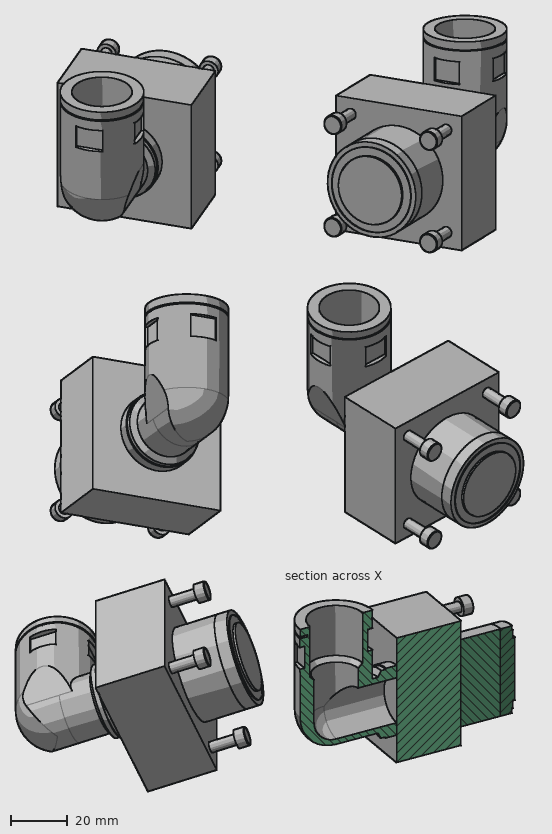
import cadquery as cq
import math


block_side = 50.0
block_depth = 26.2

barrel_radius = 17.6
barrel_end = 42.2
cap_rim_end = 46.9
cap_step_radius = 15.7
cap_step_end = 47.3
cap_boss_radius = 12.6
cap_boss_end = 48.2

screw_offset = 19.05
shank_radius = 2.0
shank_length = 10.0
head_radius = 3.5
head_height = 4.0
head_chamfer = 0.3

pipe_radius = 11.3
collar_radius = 14.1
collar_length = 4.4
flange_radius = 13.6
flange_end = 6.3
flange_cone_end = 7.6

socket_radius = 14.8
socket_axis_y = -24.5
socket_rise = 13.7
socket_top = block_side / 2 + socket_rise
pipe_end = socket_axis_y + socket_radius / 3
bend_center_z = socket_radius - pipe_radius
flank_tilt = math.radians(15.2)

passage_radius = 8.9
mouth_radius = 10.7
mouth_depth = 20.0
mouth_taper = mouth_radius - passage_radius

flat_distance = 12.9
flat_width = 10.0
flat_height = 8.5
flat_top_drop = 7.4
groove_drop = 3.15
clip_slot_height = 0.5
clip_slot_floor_radius = 11.6
parting_groove_height = 0.3
parting_groove_depth = 0.3
parting_groove_floor_radius = socket_radius - parting_groove_depth


def y_cylinder(radius, y_start, y_end, x=0, z=0):
    """Cylinder along +Y from y_start to y_end."""
    base = cq.Vector(x, y_start, z)
    return cq.Workplane(cq.Solid.makeCylinder(radius, y_end - y_start, base, cq.Vector(0, 1, 0)))


def socket_cylinder(radius, z_start, z_end):
    """Upright cylinder on the socket axis."""
    return cq.Workplane("XY", origin=(0, socket_axis_y, z_start)).circle(radius).extrude(z_end - z_start)


def socket_half_space(side):
    """Box covering one half of the socket: side +1 faces the block, -1 faces away from it."""
    size = 4 * socket_top
    return cq.Workplane("XY").box(size, size, size).translate((0, socket_axis_y + side * size / 2, 0))


def make_block():
    return cq.Workplane("XY").box(block_side, block_depth, block_side).translate((0, block_depth / 2, 0))


def make_barrel():
    return y_cylinder(barrel_radius, block_depth, barrel_end)


def make_cap():
    rim = y_cylinder(barrel_radius, barrel_end, cap_rim_end)
    step = y_cylinder(cap_step_radius, barrel_end, cap_step_end)
    boss = y_cylinder(cap_boss_radius, barrel_end, cap_boss_end)
    return rim.union(step).union(boss)


def make_screw(x, z):
    head_start = block_depth + shank_length
    shank = y_cylinder(shank_radius, block_depth, head_start, x, z)
    head = y_cylinder(head_radius, head_start, head_start + head_height, x, z)
    return shank.union(head.faces(">Y").chamfer(head_chamfer))


def make_pipe():
    """Horizontal pipe with the stepped collar that sits on the block."""
    profile = [
        (0, 0),
        (collar_radius, 0),
        (collar_radius, -collar_length),
        (flange_radius, -collar_length),
        (flange_radius, -flange_end),
        (pipe_radius, -flange_cone_end),
        (pipe_radius, pipe_end),
        (0, pipe_end),
    ]
    return cq.Workplane("XY").polyline(profile).close().revolve(360, (0, 0, 0), (0, 1, 0))


def make_flank_envelope():
    """Prism along Y: the pipe's underside continued upward by flanks tangent to the pipe."""
    tangent_x = pipe_radius * math.cos(flank_tilt)
    tangent_z = -pipe_radius * math.sin(flank_tilt)
    top_x = tangent_x + (socket_top - tangent_z) * math.tan(flank_tilt)
    length = 2 * socket_radius
    return (
        cq.Workplane("XZ", origin=(0, socket_axis_y + socket_radius, 0))
        .moveTo(-top_x, socket_top)
        .lineTo(-tangent_x, tangent_z)
        .threePointArc((0, -pipe_radius), (tangent_x, tangent_z))
        .lineTo(top_x, socket_top)
        .close()
        .extrude(length)
    )


def make_socket():
    """Upright cylinder, rounded below on the outer side of the bend and drawn in to the pipe's width."""
    upper = socket_cylinder(socket_radius, bend_center_z, socket_top)
    outer_bend = cq.Workplane("XY").sphere(socket_radius).translate((0, socket_axis_y, bend_center_z))
    inner_bend = socket_cylinder(socket_radius, -pipe_radius, bend_center_z).intersect(socket_half_space(1))
    return upper.union(outer_bend).union(inner_bend).intersect(make_flank_envelope())


def make_passage():
    """Bore through the pipe, a ball-shaped turn, and the upright bore with its tapered wide mouth."""
    mouth_bottom = socket_top - mouth_depth
    horizontal = y_cylinder(passage_radius, socket_axis_y, 0)
    turn = cq.Workplane("XY").sphere(passage_radius).translate((0, socket_axis_y, 0))
    upright_profile = [
        (0, 0),
        (passage_radius, 0),
        (passage_radius, mouth_bottom - mouth_taper),
        (mouth_radius, mouth_bottom),
        (mouth_radius, socket_top),
        (0, socket_top),
    ]
    upright = (
        cq.Workplane("XZ", origin=(0, socket_axis_y, 0))
        .polyline(upright_profile)
        .close()
        .revolve(360, (0, 0, 0), (0, 1, 0))
    )
    return horizontal.union(turn).union(upright)


def make_wrench_flats():
    """Four shallow rectangular pockets spaced evenly around the socket."""
    depth = socket_radius - flat_distance
    center_z = socket_top - flat_top_drop - flat_height / 2
    pocket = cq.Workplane("XY").box(depth, flat_width, flat_height)
    pocket = pocket.translate((flat_distance + depth / 2, 0, center_z))
    flats = cq.Workplane("XY")
    for angle in (0, 90, 180, 270):
        turned = pocket.rotate((0, 0, 0), (0, 0, 1), angle)
        flats = flats.add(turned.translate((0, socket_axis_y, 0)))
    return flats.combine()


def make_groove(height, floor_radius):
    """Ring to be cut from the socket wall, hanging down from the groove's upper edge."""
    groove_top = socket_top - groove_drop
    ring = socket_cylinder(socket_radius, groove_top - height, groove_top)
    return ring.cut(socket_cylinder(floor_radius, groove_top - height, groove_top))


def make_elbow():
    """Pipe, collar and socket in one piece; the clip slot runs round the outer half of the socket."""
    clip_slot = make_groove(clip_slot_height, clip_slot_floor_radius).intersect(socket_half_space(-1))
    parting_groove = make_groove(parting_groove_height, parting_groove_floor_radius)
    elbow = make_pipe().union(make_socket()).cut(make_passage())
    return elbow.cut(make_wrench_flats()).cut(parting_groove).cut(clip_slot)


block = make_block()
barrel = make_barrel()
cap = make_cap()
elbow = make_elbow()
screws = [
    make_screw(x, z)
    for x in (-screw_offset, screw_offset)
    for z in (-screw_offset, screw_offset)
]

bodies = [block, barrel, cap, elbow, *screws]
result = cq.Compound.makeCompound([body.solids().val() for body in bodies])